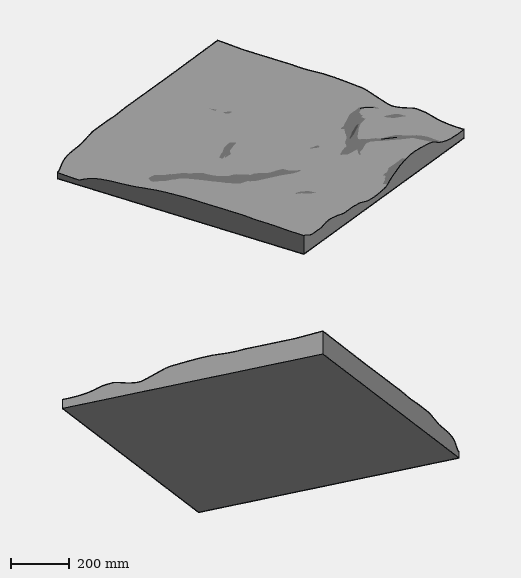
import cadquery as cq
import math

SIDE = 1000.0
HALF = SIDE / 2
PEAK = 87.29

CELLS = 60
FIT_TOLERANCE = 1.0
ROUNDING = 12.0

BLOCK_EDGES = {
    "west": [
        (-HALF, 350, 84), (-HALF, 200, 84), (-HALF, 50, 84), (-HALF, -100, 85), (-HALF, -200, 85),
        (-HALF, -280, 84), (-HALF, -320, 75), (-HALF, -355, 68), (-HALF, -405, 66),
        (-HALF, -445, 60), (-HALF, -466, 51), (-HALF, -487, 30),
    ],
    "south": [
        (-HALF, -HALF, 25), (-450, -HALF, 22), (-410, -HALF, 22), (-390, -HALF, 31), (-350, -HALF, 45),
        (-300, -HALF, 53), (-200, -HALF, 60), (-100, -HALF, 73), (-50, -HALF, 77), (20, -HALF, 80),
        (150, -HALF, 80), (250, -HALF, 80), (300, -HALF, 77), (400, -HALF, 76), (HALF, -HALF, 73),
    ],
    "east": [
        (HALF, -450, 55), (HALF, -400, 54), (HALF, -350, 63), (HALF, -250, 47), (HALF, -150, 42),
        (HALF, -100, 28), (HALF, -50, 25), (HALF, 0, 29), (HALF, 50, 53), (HALF, 100, 74),
        (HALF, 150, 85), (HALF, 250, 82), (HALF, 300, 74), (HALF, 350, 51), (HALF, 400, 38),
    ],
    "north": [
        (-HALF, HALF, 86), (-400, HALF, 80), (-300, HALF, 80), (-200, HALF, 80), (-100, HALF, 81),
        (0, HALF, 79), (50, HALF, 77), (100, HALF, 71), (150, HALF, 55), (200, HALF, 40),
        (250, HALF, 45), (300, HALF, 57), (350, HALF, 53), (400, HALF, 40), (HALF, HALF, 34),
    ],
}
WEST_UPLAND = {
    "rim": [
        (-420, 400, 82), (-430, 275, 84), (-430, 100, 85), (-460, 0, 83), (-470, -75, 80),
        (-470, -150, 76), (-470, -275, 77),
    ],
    "bench": [
        (-350, 425, 78), (-350, 300, 81), (-350, 225, 73), (-360, 100, 69), (-350, 25, 71),
        (-420, -50, 67), (-400, -125, 69), (-310, -50, 74), (-310, -200, 75), (-420, -225, 74),
        (-390, -275, 79), (-425, -350, 71), (-450, -400, 62), (-410, -425, 60),
    ],
    "north hollow": [
        (-300, 225, 66), (-280, 190, 57), (-285, 150, 46), (-225, 140, 52), (-200, 125, 63),
        (-260, 95, 65), (-340, 150, 67), (-225, 175, 69),
    ],
    "south hollow": [
        (-265, -10, 69), (-235, -50, 58), (-200, -90, 63), (-160, -85, 66), (-250, -150, 66),
        (-190, -180, 63), (-200, -240, 67), (-150, -200, 55),
    ],
    "shoulder": [
        (-250, 400, 74), (-250, 300, 73), (-195, 340, 70), (-200, 220, 69), (-170, 160, 69),
        (-160, 70, 72), (-230, 50, 67), (-150, 0, 68), (-100, 100, 62),
    ],
}
BASIN = {
    "north crest": [
        (-200, 460, 72), (-150, 470, 72), (-100, 440, 69), (-40, 465, 81), (-50, 430, 69),
        (0, 425, 74), (60, 415, 76), (100, 410, 66),
    ],
    "north foot": [
        (-110, 375, 40), (-50, 395, 46), (-80, 345, 31), (-50, 345, 28), (0, 320, 12),
        (0, 360, 31), (40, 370, 45), (40, 335, 27), (75, 350, 28), (100, 330, 9), (110, 385, 49),
    ],
    "west slope": [
        (-150, 370, 60), (-150, 300, 60), (-110, 310, 50), (-160, 250, 55), (-100, 240, 51),
        (-50, 300, 34), (-50, 220, 40), (0, 270, 18), (0, 200, 28), (-50, 140, 48), (0, 120, 39),
        (50, 90, 35), (-50, 60, 63), (0, 70, 55), (50, 50, 52), (75, 50, 41),
    ],
    "floor": [
        (20, 285, 8), (40, 250, 4), (100, 290, 11), (150, 260, 5), (200, 220, 8), (210, 160, 9),
        (200, 110, 16), (200, 40, 24), (110, 220, 14), (60, 190, 8), (100, 150, 5), (110, 100, 16),
        (110, 60, 24), (150, 150, 20), (150, 100, 24), (40, 150, 17),
    ],
    "east foot": [
        (130, 340, 18), (150, 300, 20), (190, 265, 20), (230, 215, 22), (245, 160, 24), (275, 125, 26),
    ],
}
EAST_HILLS = {
    "saddle hill": [
        (130, 430, 56), (150, 420, 54), (185, 405, 70), (165, 365, 70), (225, 365, 72), (310, 365, 71),
        (225, 310, 75), (250, 320, 75), (220, 275, 68), (190, 310, 57), (235, 240, 45), (250, 405, 56),
        (310, 415, 64), (330, 360, 60),
    ],
    "north-east hollow": [(225, 460, 41), (300, 460, 50), (375, 455, 36), (440, 430, 31), (440, 390, 38)],
    "gully": [
        (360, 400, 50), (385, 360, 41), (310, 330, 37), (325, 310, 38), (290, 285, 38), (265, 260, 49),
        (260, 200, 46), (290, 150, 41),
    ],
    "east hill": [
        (440, 345, 54), (440, 300, 73), (375, 270, 69), (330, 200, 74), (310, 170, 63), (360, 160, 75),
        (400, 210, 81), (450, 160, 79), (390, 145, 68),
    ],
    "south foot": [
        (310, 120, 34), (390, 115, 32), (440, 110, 34), (470, 140, 70), (480, 90, 51), (460, 60, 31),
        (480, 30, 28),
    ],
}
VALLEY = {
    "knoll": [
        (-90, 40, 65), (0, 20, 64), (60, 10, 57), (-90, -40, 69), (-15, -70, 76), (50, -40, 69),
        (95, -10, 57), (100, -50, 59), (-60, -90, 67), (-15, -115, 67), (35, -95, 67), (70, -65, 60),
    ],
    "knoll foot": [
        (-130, -100, 48), (-100, -80, 39), (-100, -115, 28), (-75, -130, 32), (-50, -145, 30),
        (0, -148, 30), (30, -143, 30), (70, -110, 25), (105, -85, 27), (130, -45, 41),
    ],
    "floor": [
        (-90, -155, 25), (-40, -170, 22), (45, -160, 22), (-100, -240, 24), (-50, -200, 26),
        (-120, -180, 39), (-135, -240, 36), (-150, -285, 33), (-235, -290, 23), (-240, -345, 30),
        (-310, -320, 31), (-350, -350, 31), (-360, -390, 38),
    ],
    "cut bank crest": [
        (-200, -250, 61), (-240, -240, 62), (-300, -245, 75), (-350, -262, 75), (-390, -310, 75),
        (-415, -370, 66),
    ],
    "cut bank foot": [
        (-175, -275, 38), (-210, -272, 36), (-290, -278, 37), (-340, -305, 40), (-380, -370, 43),
    ],
    "mouth": [
        (-475, -465, 41), (-430, -445, 57), (-390, -435, 50), (-385, -462, 40), (-420, -485, 27),
        (-350, -450, 45),
    ],
    "east flats": [
        (150, 20, 32), (200, -10, 35), (280, 40, 33), (350, 60, 36), (340, -10, 43), (390, 0, 40),
        (440, 40, 29), (440, -10, 34), (225, -50, 45), (300, -60, 40), (370, -50, 37), (450, -90, 31),
        (170, -60, 41), (400, -115, 41), (450, -150, 43),
    ],
}
SOUTH_UPLAND = {
    "river slope": [
        (0, -200, 30), (50, -200, 36), (100, -160, 38), (150, -125, 44), (0, -270, 44), (75, -240, 50),
        (-100, -280, 38), (-75, -310, 50), (-175, -335, 35), (-250, -390, 40), (-150, -390, 50),
        (-125, -340, 49), (-300, -440, 50), (-200, -450, 57), (-120, -410, 62),
    ],
    "north spur": [
        (225, -90, 53), (225, -120, 60), (300, -140, 58), (225, -210, 71), (300, -210, 55),
        (340, -150, 52), (360, -200, 62), (440, -200, 60), (160, -190, 58), (150, -240, 61),
    ],
    "plateau": [
        (150, -290, 74), (80, -290, 61), (100, -320, 71), (25, -320, 61), (225, -275, 71),
        (225, -350, 80), (350, -240, 74), (350, -300, 79), (340, -360, 80), (440, -260, 69),
        (425, -340, 74), (-50, -350, 63), (-20, -400, 74), (75, -390, 77), (175, -400, 80),
        (290, -420, 74), (350, -420, 75), (435, -435, 63), (475, -430, 65), (475, -325, 67),
        (-100, -440, 69), (50, -450, 79), (200, -460, 81), (350, -465, 75),
    ],
}
REGIONS = [BLOCK_EDGES, WEST_UPLAND, BASIN, EAST_HILLS, VALLEY, SOUTH_UPLAND]


def spot_heights():
    """All the break-line points in one list."""
    return [spot for region in REGIONS for line in region.values() for spot in line]


def influence(x, y, spot):
    """Softened distance from (x, y) to a spot."""
    return math.sqrt((x - spot[0]) ** 2 + (y - spot[1]) ** 2 + ROUNDING**2)


def solve(matrix, values):
    """Solve a square linear system by elimination with row pivoting."""
    rows = [line + [value] for line, value in zip(matrix, values)]
    size = len(rows)
    for col in range(size):
        pivot = max(range(col, size), key=lambda row: abs(rows[row][col]))
        rows[col], rows[pivot] = rows[pivot], rows[col]
        lead = rows[col]
        for row in range(col + 1, size):
            factor = rows[row][col] / lead[col]
            rows[row] = [a - factor * b for a, b in zip(rows[row], lead)]
    solution = [0.0] * size
    for row in reversed(range(size)):
        known = sum(rows[row][col] * solution[col] for col in range(row + 1, size))
        solution[row] = (rows[row][size] - known) / rows[row][row]
    return solution


def ground_function(spots):
    """Return height(x, y): a smooth interpolation that passes through every spot."""
    mean = sum(spot[2] for spot in spots) / len(spots)
    matrix = [[influence(x, y, other) for other in spots] for x, y, _ in spots]
    weights = solve(matrix, [spot[2] - mean for spot in spots])

    def height(x, y):
        return mean + sum(w * influence(x, y, spot) for w, spot in zip(weights, spots))

    return height


def ground_face(height):
    """One smooth face over the whole square, moved along Z so that its top is at PEAK."""
    ticks = [-HALF + SIDE * i / CELLS for i in range(CELLS + 1)]
    grid = [[cq.Vector(x, y, height(x, y)) for y in ticks] for x in ticks]
    face = cq.Face.makeSplineApprox(grid, tol=FIT_TOLERANCE, minDeg=3, maxDeg=3)
    return face.translate(cq.Vector(0, 0, PEAK - face.BoundingBox().zmax))


def wall_below(ground_edge):
    """The flat vertical wall between one edge of the ground and the base."""
    start = ground_edge.startPoint()
    end = ground_edge.endPoint()
    start_foot = cq.Vector(start.x, start.y, 0)
    end_foot = cq.Vector(end.x, end.y, 0)
    sides = [
        cq.Edge.makeLine(end, end_foot),
        cq.Edge.makeLine(end_foot, start_foot),
        cq.Edge.makeLine(start_foot, start),
    ]
    return cq.Face.makeFromWires(cq.Wire.assembleEdges([ground_edge] + sides))


def land_block(ground):
    """The solid between the ground face and the flat base at Z = 0."""
    walls = [wall_below(edge) for edge in ground.Edges()]
    base = cq.Face.makePlane(SIDE, SIDE)
    return cq.Solid.makeSolid(cq.Shell.makeShell([ground, base] + walls))


result = cq.Workplane(obj=land_block(ground_face(ground_function(spot_heights()))))